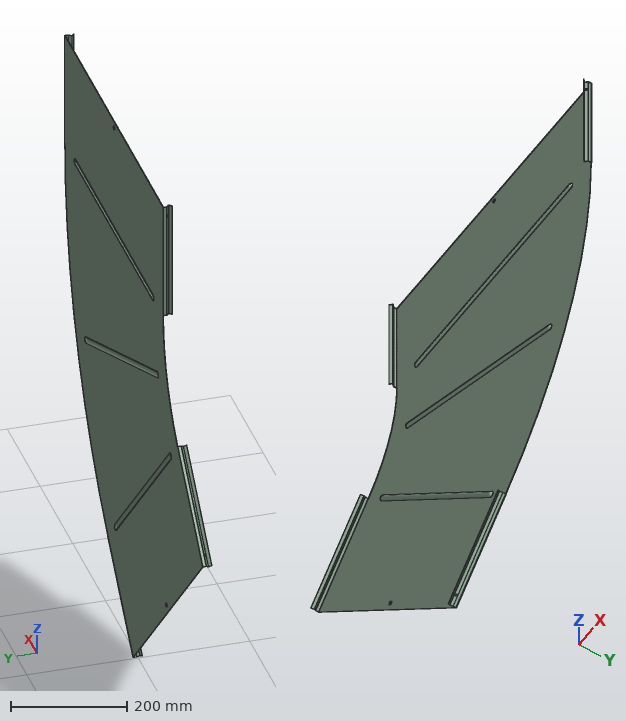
import cadquery as cq
import math


overall_height = 1008.0
bend_angle = 45.0
outer_radius = 900.0
inner_radius = 300.0
thickness = 1.2
flange_depth = 17.0

groove_depth = 4.5

bead_count = 3
bead_length = 486.0
bead_width = 12.0
bead_height = 4.0

plate_hole_diameter = 7.0
plate_hole_from_end = 13.0
flange_hole_diameter = 4.0
flange_hole_from_end = 20.0

sin_bend = math.sin(math.radians(bend_angle))
cos_bend = math.cos(math.radians(bend_angle))
outer_edge = outer_radius + thickness
inner_edge = inner_radius - thickness
arm_length = (overall_height - outer_edge * sin_bend) / (1 + cos_bend)
middle_radius = (inner_radius + outer_radius) / 2
tip_step = thickness / math.sqrt(2)
groove_end_depth = flange_depth - tip_step
groove_apex_depth = groove_end_depth - groove_depth
groove_start_depth = groove_apex_depth - groove_depth


def turn(body, angle):
    """Swing a body clockwise, seen from -Y, about the bend axis."""
    return body.rotate((0, 0, 0), (0, 1, 0), angle)


def mirror_to_other_arm(body):
    """Mirror a body of the upright arm across the middle of the bend, onto the slanted arm."""
    return turn(body.mirror("XY"), bend_angle)


def bend_point(radius, angle):
    """Point of the XZ plane at an angle below +X."""
    a = math.radians(angle)
    return (radius * math.cos(a), -radius * math.sin(a))


def flat_sheet():
    """Two straight arms, with edges one thickness outside the arcs, joined by the bend."""
    upright_arm = (
        cq.Workplane("XZ")
        .moveTo(inner_edge, 0)
        .lineTo(inner_edge, arm_length)
        .lineTo(outer_edge, arm_length)
        .lineTo(outer_edge, 0)
        .close()
        .extrude(thickness)
    )
    bend = (
        cq.Workplane("XZ")
        .moveTo(inner_radius, 0)
        .lineTo(outer_radius, 0)
        .threePointArc(bend_point(outer_radius, bend_angle / 2), bend_point(outer_radius, bend_angle))
        .lineTo(*bend_point(inner_radius, bend_angle))
        .threePointArc(bend_point(inner_radius, bend_angle / 2), (inner_radius, 0))
        .close()
        .extrude(thickness)
    )
    return bend.union(upright_arm).union(mirror_to_other_arm(upright_arm))


def flange(edge_x, inward):
    """Grooved flange along one edge of the upright arm; inward is the X direction to mid-sheet."""
    slope_shift = thickness * math.sqrt(2)
    profile = [
        (0, 0),
        (0, groove_start_depth),
        (groove_depth, groove_apex_depth),
        (0, groove_end_depth),
        (tip_step, flange_depth),
        (groove_depth + slope_shift, groove_apex_depth),
        (thickness, groove_start_depth - slope_shift + thickness),
        (thickness, 0),
    ]
    points = [(edge_x + inward * across, -depth) for across, depth in profile]
    body = cq.Workplane("XY").polyline(points).close().extrude(arm_length)

    hole_depth = (groove_start_depth + groove_apex_depth) / 2
    drill_reach = groove_depth + 2 * slope_shift
    drill = (
        cq.Workplane("YZ", origin=(edge_x, 0, 0))
        .center(-hole_depth, arm_length - flange_hole_from_end)
        .circle(flange_hole_diameter / 2)
        .extrude(drill_reach, both=True)
    )
    return body.cut(drill)


def rounded_bar(radius, axis_y):
    """Round bar with ball ends along +X, centred on the middle radius."""
    straight = bead_length - bead_width
    start = middle_radius - straight / 2
    bar = cq.Workplane("YZ", origin=(start, axis_y, 0)).circle(radius).extrude(straight)
    for ball_x in (start, start + straight):
        bar = bar.union(cq.Workplane("XY", origin=(ball_x, axis_y, 0)).sphere(radius))
    return bar


half_width = bead_width / 2
bead_radius = (half_width**2 + bead_height**2) / (2 * bead_height)
bead_axis_y = bead_radius - bead_height - thickness

result = flat_sheet()
for edge_x, inward in ((inner_edge, 1), (outer_edge, -1)):
    upright_flange = flange(edge_x, inward)
    result = result.union(upright_flange).union(mirror_to_other_arm(upright_flange))

bead_outside = rounded_bar(bead_radius, bead_axis_y)
bead_inside = rounded_bar(bead_radius - thickness, bead_axis_y)
front_space = (
    cq.Workplane("XZ")
    .center(middle_radius, 0)
    .rect(bead_length + 2 * bead_radius, 2 * bead_radius)
    .extrude(thickness + bead_height)
)
bead_outside = bead_outside.intersect(front_space)
bead_inside = bead_inside.intersect(front_space)
for index in range(bead_count):
    angle = bend_angle * index / (bead_count - 1)
    result = result.union(turn(bead_outside, angle)).cut(turn(bead_inside, angle))

plate_drill = (
    cq.Workplane("XZ")
    .center(middle_radius, arm_length - plate_hole_from_end)
    .circle(plate_hole_diameter / 2)
    .extrude(thickness)
)
result = result.cut(plate_drill).cut(mirror_to_other_arm(plate_drill))